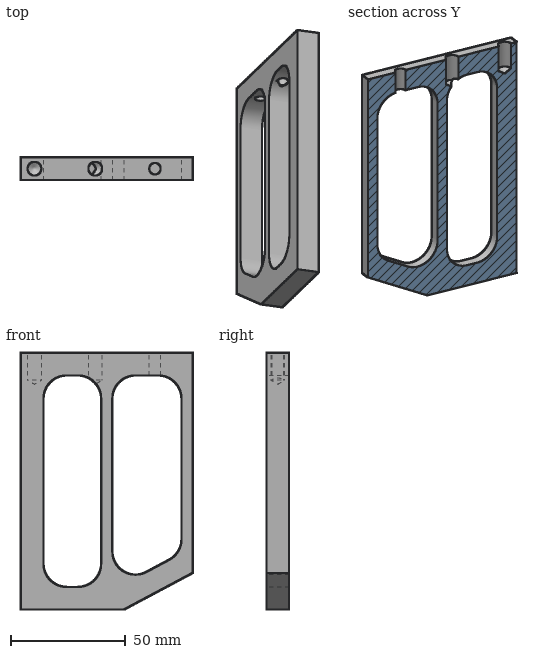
import cadquery as cq
import math

width = 75.0
thickness = 10.0
height = 112.0
cut_corner_width = 30.0
cut_corner_height = 16.0

border = 10.0
rib_left = 35.0
rib_width = 5.0
right_border = 5.0
corner_radius = 10.0

blind_hole_diameter = 6.0
blind_hole_depth = 12.0
drill_point_angle = 118.0
blind_hole_positions = (6.0, 32.5)
through_hole_diameter = 5.0
through_hole_position = 58.5
through_hole_depth = 2 * border


def extrude_outline(points):
    """Closed XZ outline extruded through the thickness, from y = 0 to y = thickness."""
    return cq.Workplane("XZ").polyline(points).close().extrude(-thickness)


def plate():
    return extrude_outline([
        (0, 0),
        (width - cut_corner_width, 0),
        (width, cut_corner_height),
        (width, height),
        (0, height),
    ])


def rounded_window(points):
    return extrude_outline(points).edges("|Y").fillet(corner_radius)


def left_window():
    top = height - border
    return rounded_window([(border, border), (rib_left, border), (rib_left, top), (border, top)])


def right_window():
    """Window whose sloping lower side keeps the border width to the cut corner."""
    slope = cut_corner_height / cut_corner_width
    vertical_border = border * math.hypot(1, slope)

    def lower_side(x):
        return (x - (width - cut_corner_width)) * slope + vertical_border

    left = rib_left + rib_width
    right = width - right_border
    top = height - border
    return rounded_window([(left, lower_side(left)), (right, lower_side(right)), (right, top), (left, top)])


def blind_hole(x):
    """Drilled hole with a conical bottom, revolved about its vertical axis."""
    radius = blind_hole_diameter / 2
    point_length = radius / math.tan(math.radians(drill_point_angle / 2))
    shoulder = -blind_hole_depth
    profile = [(0, 0), (radius, 0), (radius, shoulder), (0, shoulder - point_length)]
    drill = cq.Workplane("XZ").polyline(profile).close().revolve(360, (0, 0), (0, 1))
    return drill.translate((x, thickness / 2, height))


def through_hole():
    """Straight hole that opens into the right window."""
    drill = cq.Workplane("XY").circle(through_hole_diameter / 2).extrude(-through_hole_depth)
    return drill.translate((through_hole_position, thickness / 2, height))


result = plate().cut(left_window()).cut(right_window())
for position in blind_hole_positions:
    result = result.cut(blind_hole(position))
result = result.cut(through_hole())